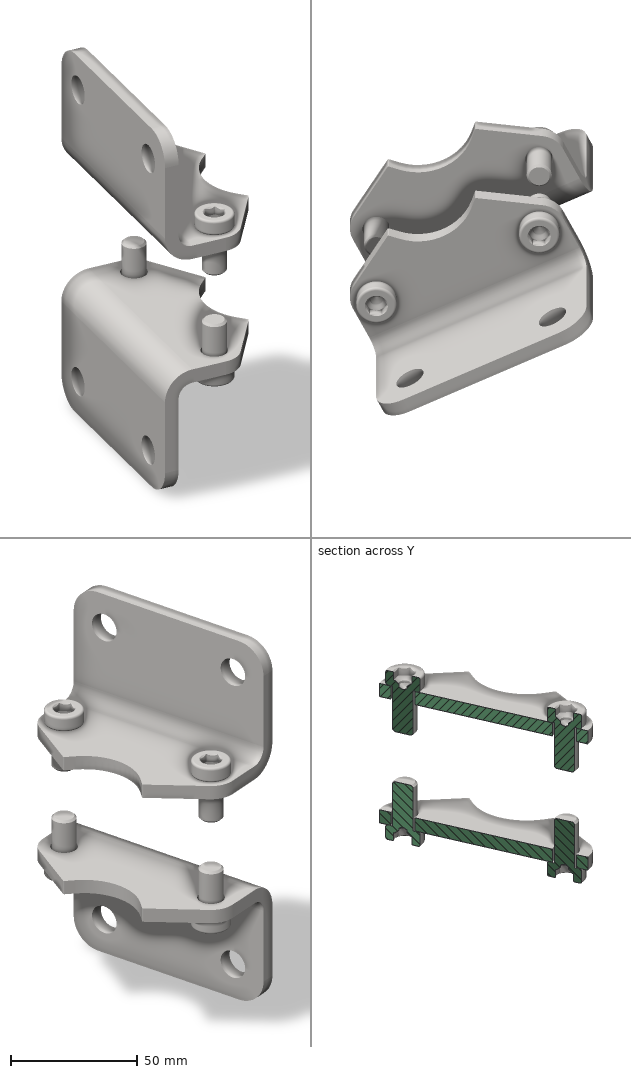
import cadquery as cq
import math


width = 93.0
thickness = 6.0
half_gap = 25.0
overall_half_height = 81.0
flange_reach = 50.34
bend_outer_radius = 12.0
bend_inner_radius = bend_outer_radius - thickness
plate_corner_radius = 12.0

mount_hole_diameter = 12.0
mount_hole_spacing = 63.0
mount_hole_edge = 15.0
mount_hole_z = overall_half_height - mount_hole_edge

saddle_radius = 22.5
saddle_center_y = 63.0
saddle_bottom_y = saddle_center_y - saddle_radius
flank_angle = math.radians(45)
tip_radius = 0.5
tip_center_y = flange_reach - tip_radius
tip_center_x = (
    saddle_radius + tip_radius - (saddle_center_y - tip_center_y) * math.cos(flank_angle)
) / math.sin(flank_angle)

screw_spacing = 72.0
screw_x = screw_spacing / 2
screw_y = 27.0
screw_clearance_diameter = 11.0
shank_diameter = 10.0
shank_length = 20.0
shank_tip_chamfer = 0.9
head_diameter = 16.0
head_height = 6.5
head_fillet = 1.0
hex_across_flats = 8.0
hex_across_corners = hex_across_flats / math.cos(math.radians(30))
hex_depth = 3.6
pilot_diameter = 5.0
pilot_length = 1.0
drill_slope = math.tan(math.radians(45))
rim_chamfer_slope = math.tan(math.radians(45))

flange_corner_radius = width / 2 - screw_x
seat_z = half_gap + thickness


def point_on_circle(center, radius, angle):
    return (center[0] + radius * math.cos(angle), center[1] + radius * math.sin(angle))


def flange_half():
    """Right half of the flange in the XY plane, from the outer plate face round to the saddle bottom."""
    half_width = width / 2
    corner = (screw_x, screw_y)
    tip = (tip_center_x, tip_center_y)
    saddle = (0, saddle_center_y)

    run_x = tip[0] - corner[0]
    run_y = tip[1] - corner[1]
    radius_drop = flange_corner_radius - tip_radius
    slope_normal = math.atan2(run_y, run_x) - math.acos(radius_drop / math.hypot(run_x, run_y))

    flank_normal = math.pi / 2 + flank_angle
    saddle_end = flank_normal - math.pi
    saddle_mid = (saddle_end - math.pi / 2) / 2
    return (
        cq.Workplane("XY")
        .moveTo(0, 0)
        .lineTo(half_width, 0)
        .lineTo(half_width, screw_y)
        .threePointArc(
            point_on_circle(corner, flange_corner_radius, slope_normal / 2),
            point_on_circle(corner, flange_corner_radius, slope_normal),
        )
        .lineTo(*point_on_circle(tip, tip_radius, slope_normal))
        .threePointArc(
            point_on_circle(tip, tip_radius, (slope_normal + flank_normal) / 2),
            point_on_circle(tip, tip_radius, flank_normal),
        )
        .lineTo(*point_on_circle(saddle, saddle_radius, saddle_end))
        .threePointArc(
            point_on_circle(saddle, saddle_radius, saddle_mid),
            (0, saddle_bottom_y),
        )
    )


def make_upper_bracket():
    """Bent plate: the L profile trimmed to the symmetric flange outline, then rounded and drilled."""
    profile = (
        cq.Workplane("YZ")
        .moveTo(flange_reach, half_gap)
        .lineTo(bend_outer_radius, half_gap)
        .radiusArc((0, half_gap + bend_outer_radius), bend_outer_radius)
        .lineTo(0, overall_half_height)
        .lineTo(thickness, overall_half_height)
        .lineTo(thickness, half_gap + bend_outer_radius)
        .radiusArc((bend_outer_radius, seat_z), -bend_inner_radius)
        .lineTo(flange_reach, seat_z)
        .close()
        .extrude(width / 2, both=True)
    )
    bracket = profile.intersect(flange_half().mirrorY().extrude(overall_half_height))
    bracket = bracket.edges("|Y").edges(">Z").fillet(plate_corner_radius)
    mount_holes = (
        cq.Workplane("XZ")
        .pushPoints([(side * mount_hole_spacing / 2, mount_hole_z) for side in (-1, 1)])
        .circle(mount_hole_diameter / 2)
        .extrude(-thickness)
    )
    screw_holes = (
        cq.Workplane("XY", origin=(0, 0, half_gap))
        .pushPoints([(side * screw_x, screw_y) for side in (-1, 1)])
        .circle(screw_clearance_diameter / 2)
        .extrude(thickness)
    )
    return bracket.cut(mount_holes).cut(screw_holes)


def make_socket():
    """Hex socket with a conical floor, a drilled pilot hole and a chamfered rim; its mouth is at Z = 0."""
    corner_radius = hex_across_corners / 2
    cone_radius = hex_across_flats / 2
    pilot_radius = pilot_diameter / 2
    cone_end = hex_depth + (cone_radius - pilot_radius) * drill_slope
    pilot_end = cone_end + pilot_length
    pilot_tip = pilot_end + pilot_radius * drill_slope
    drilled = (
        cq.Workplane("XZ")
        .polyline([
            (0, 0),
            (corner_radius, 0),
            (corner_radius, -hex_depth),
            (cone_radius, -hex_depth),
            (pilot_radius, -cone_end),
            (pilot_radius, -pilot_end),
            (0, -pilot_tip),
        ])
        .close()
        .revolve(360, (0, 0), (0, 1))
    )
    hex_prism = (
        cq.Workplane("XY")
        .polygon(6, hex_across_corners)
        .extrude(-pilot_tip)
        .rotate((0, 0, 0), (0, 0, 1), 90)
    )
    rim_chamfer = (
        cq.Workplane("XZ")
        .polyline([(0, 0), (corner_radius, 0), (0, -corner_radius * rim_chamfer_slope)])
        .close()
        .revolve(360, (0, 0), (0, 1))
    )
    return drilled.intersect(hex_prism).union(rim_chamfer)


def make_upper_screw(x):
    """Low-head socket screw standing on the flange, shank pointing down."""
    head = (
        cq.Workplane("XY")
        .circle(head_diameter / 2)
        .extrude(head_height)
        .faces("<Z or >Z")
        .edges()
        .fillet(head_fillet)
    )
    shank = (
        cq.Workplane("XY")
        .circle(shank_diameter / 2)
        .extrude(-shank_length)
        .faces("<Z")
        .chamfer(shank_tip_chamfer)
    )
    socket = make_socket().translate((0, 0, head_height))
    return head.union(shank).cut(socket).translate((x, screw_y, seat_z))


upper_bracket = make_upper_bracket()
lower_bracket = upper_bracket.mirror("XY")

screws = []
for side in (-1, 1):
    upper_screw = make_upper_screw(side * screw_x)
    screws.append(upper_screw.val())
    screws.append(upper_screw.mirror("XY").val())

result = cq.Compound.makeCompound([upper_bracket.val(), lower_bracket.val(), *screws])